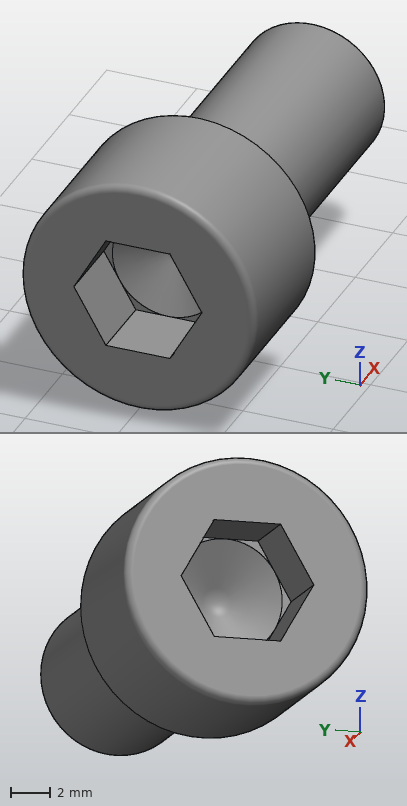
import cadquery as cq
import math

total_length = 24.0
head_diameter = 13.0
shank_diameter = total_length / 3
head_height = shank_diameter
head_edge_radius = 0.4
neck_radius = 0.4
tip_chamfer = 0.67

socket_across_flats = 6.15
socket_depth = head_height / 2
socket_cone_half_angle = 60.0


def make_body():
    """Head and shank with the rounded head rim, neck fillet and tip chamfer."""
    head = cq.Workplane("YZ").circle(head_diameter / 2).extrude(head_height)
    head = head.faces("<X").edges().fillet(head_edge_radius)
    shank = (
        cq.Workplane("YZ")
        .workplane(offset=head_height)
        .circle(shank_diameter / 2)
        .extrude(total_length - head_height)
        .faces(">X")
        .edges()
        .chamfer(tip_chamfer)
    )
    body = head.union(shank)
    neck_reach = shank_diameter / 2 + neck_radius
    neck_box = cq.selectors.BoxSelector(
        (head_height - neck_radius / 2, -neck_reach, -neck_reach),
        (head_height + neck_radius / 2, neck_reach, neck_reach),
        boundingbox=True,
    )
    return body.edges(neck_box).fillet(neck_radius)


def make_socket():
    """Hexagonal recess, corners along Y, ending in a conical drill point."""
    across_corners = socket_across_flats / math.cos(math.radians(30))
    hexagon = cq.Workplane("YZ").polygon(6, across_corners).extrude(socket_depth)
    cone_radius = socket_across_flats / 2
    cone_height = cone_radius / math.tan(math.radians(socket_cone_half_angle))
    cone = cq.Solid.makeCone(
        cone_radius,
        0,
        cone_height,
        pnt=cq.Vector(socket_depth, 0, 0),
        dir=cq.Vector(1, 0, 0),
    )
    return hexagon.union(cq.Workplane(obj=cone))


result = make_body().cut(make_socket())